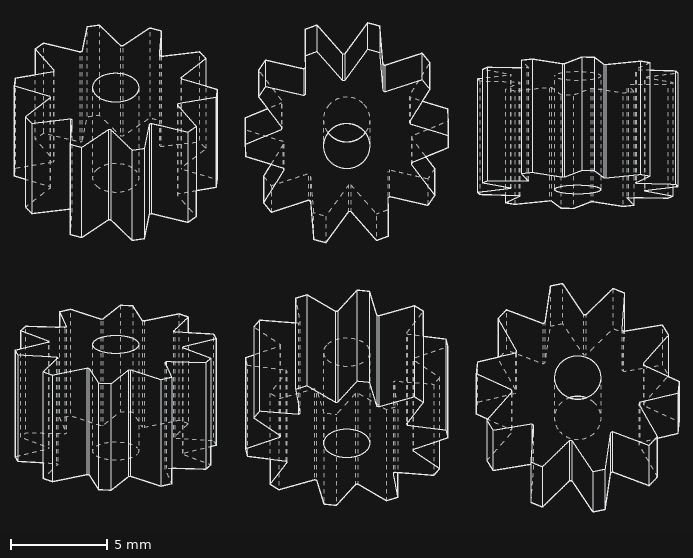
import cadquery as cq

tooth_count = 10
outer_length = 10.52
height = 6.0
hub_diameter = 7.0
bore_diameter = 2.4
tip_width = 0.65
root_width = 2.05

tip_distance = outer_length / 2
hub_radius = hub_diameter / 2
root_distance = (hub_radius**2 - (root_width / 2) ** 2) ** 0.5
tooth_pitch = 360 / tooth_count


def make_tooth():
    """Tapered tooth pointing along +Y, extended inward to the axis to join the hub."""
    outline = [
        (0, 0),
        (root_width / 2, root_distance),
        (tip_width / 2, tip_distance),
        (-tip_width / 2, tip_distance),
        (-root_width / 2, root_distance),
    ]
    return cq.Workplane("XY").polyline(outline).close().extrude(height)


pinion = cq.Workplane("XY").circle(hub_radius).extrude(height)
tooth = make_tooth()
for index in range(tooth_count):
    pinion = pinion.union(tooth.rotate((0, 0, 0), (0, 0, 1), index * tooth_pitch))

bore = cq.Workplane("XY").circle(bore_diameter / 2).extrude(height)
result = pinion.cut(bore)